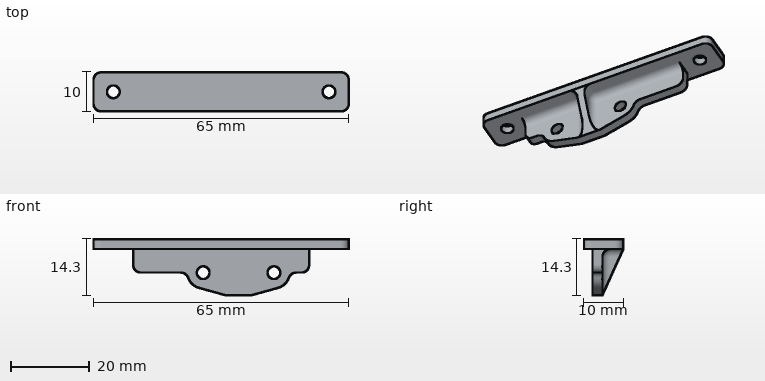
import cadquery as cq
import math

length = 65.0
width = 10.0
height = 14.3
plate_thickness = 2.55
blend_radius = 2.0
hole_diameter = 3.2
plate_hole_offset = 27.4

web_half_length = 22.4
web_front = -2.85
web_thickness = 2.55
web_back = web_front + web_thickness
web_bottom = -8.5

lobe_center = 4.4
lobe_hole_offset = 9.0
lobe_radius = 4.0
flat_half_length = 3.25

rib_thickness = 2.0

margin = 0.05


def lobe_half():
    """Tangent points and arc midpoints of one lobe side, relative to the lobe centre.

    Ordered from the straight web edge to the bottom flat.
    """
    hole = (lobe_hole_offset, web_bottom)

    def around(center, radius, angle):
        return (center[0] + radius * math.cos(angle), center[1] + radius * math.sin(angle))

    center_distance = lobe_radius + blend_radius
    blend_angle = -math.asin(blend_radius / center_distance)
    blend_center = around(hole, center_distance, blend_angle)
    blend_end_angle = math.pi + blend_angle
    blend_mid_angle = (math.pi / 2 + blend_end_angle) / 2

    dx = flat_half_length - hole[0]
    dz = -height - hole[1]
    tangent_angle = math.atan2(dz, dx) + math.acos(lobe_radius / math.hypot(dx, dz))
    lobe_mid_angle = (blend_angle + tangent_angle) / 2

    return [
        (blend_center[0], web_bottom),
        around(blend_center, blend_radius, blend_mid_angle),
        around(hole, lobe_radius, blend_angle),
        around(hole, lobe_radius, lobe_mid_angle),
        around(hole, lobe_radius, tangent_angle),
        (flat_half_length, -height),
    ]


def make_plate():
    plate = cq.Workplane("XY").box(length, width, plate_thickness, centered=(True, True, False))
    plate = plate.translate((0, 0, -plate_thickness))
    return plate.edges("|Z").fillet(blend_radius)


def make_web():
    half = lobe_half()
    right = [(lobe_center + x, z) for x, z in half]
    left = [(lobe_center - x, z) for x, z in reversed(half)]
    web = (
        cq.Workplane("XZ", origin=(0, web_back, 0))
        .moveTo(-web_half_length, -plate_thickness)
        .lineTo(web_half_length, -plate_thickness)
        .lineTo(web_half_length, web_bottom)
        .lineTo(*right[0])
        .threePointArc(right[1], right[2])
        .threePointArc(right[3], right[4])
        .lineTo(*right[5])
        .lineTo(*left[0])
        .lineTo(*left[1])
        .threePointArc(left[2], left[3])
        .threePointArc(left[4], left[5])
        .lineTo(-web_half_length, web_bottom)
        .close()
        .extrude(web_thickness)
    )
    lower_corners = cq.selectors.BoxSelector(
        (-length, -width, web_bottom - margin), (length, width, web_bottom + margin)
    )
    end_edges = web.faces("<X or >X").edges("|Y")
    return web.newObject(end_edges.edges(lower_corners).vals()).fillet(blend_radius)


def make_rib_block():
    """Full-depth rib, trimmed to a triangle after its fillets are made."""
    depth = width / 2 - web_back
    drop = height - plate_thickness
    block = cq.Workplane("XY").box(rib_thickness, depth, drop, centered=(True, False, False))
    return block.translate((lobe_center, web_back, -height))


def inside_edges(body):
    """Edges where the web, rib and plate meet behind the web."""
    under_plate = cq.selectors.BoxSelector(
        (-web_half_length - margin, web_back - margin, -plate_thickness - margin),
        (web_half_length + margin, width / 2 - margin, -plate_thickness + margin),
    )
    rib_side = rib_thickness / 2 + margin
    beside_rib = cq.selectors.BoxSelector(
        (lobe_center - rib_side, web_back - margin, -height + margin),
        (lobe_center + rib_side, web_back + margin, -plate_thickness - margin),
    )
    along_plate = body.edges("|X or |Y").edges(under_plate)
    along_web = body.edges("|Z").edges(beside_rib)
    return along_plate.add(along_web)


def make_slope_cut():
    """Wedge behind the line from the plate's rear lower edge to the web's foot."""
    return (
        cq.Workplane("YZ", origin=(-length / 2, 0, 0))
        .moveTo(width / 2, -plate_thickness)
        .lineTo(web_back, -height)
        .lineTo(width / 2, -height)
        .close()
        .extrude(length)
    )


def make_holes():
    plate_holes = (
        cq.Workplane("XY")
        .pushPoints([(-plate_hole_offset, 0), (plate_hole_offset, 0)])
        .circle(hole_diameter / 2)
        .extrude(-plate_thickness)
    )
    web_holes = (
        cq.Workplane("XZ", origin=(0, width / 2, 0))
        .pushPoints([(lobe_center + side * lobe_hole_offset, web_bottom) for side in (-1, 1)])
        .circle(hole_diameter / 2)
        .extrude(width)
    )
    return plate_holes.union(web_holes)


body = make_plate().union(make_web()).union(make_rib_block())
body = body.newObject(inside_edges(body).vals()).fillet(blend_radius)
result = body.cut(make_slope_cut()).cut(make_holes())